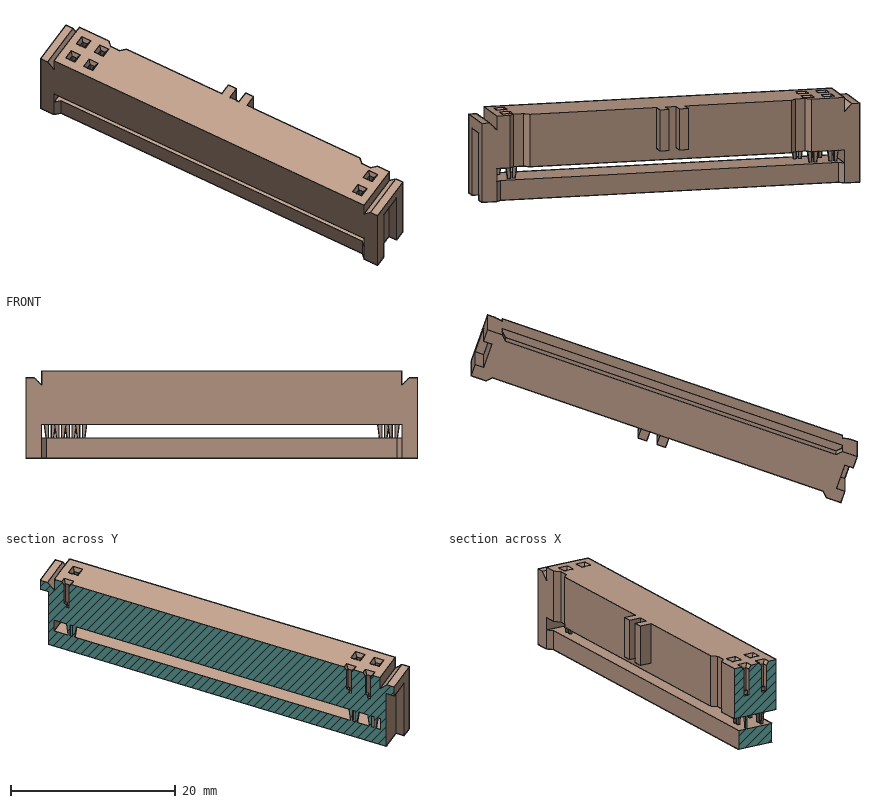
import cadquery as cq

length = 47.75
housing_depth = 6.05
height = 10.65
back_y = housing_depth / 2

leg_width = 1.9
leg_height = 9.85
groove_width = 0.9
body_length = length - 2 * leg_width
end_slot_width = 3.05
end_slot_height = 8.35
end_slot_depth = 1.1

cap_height = 2.5
gap_top = 4.1
cap_recess = 0.6

rib_width = 1.15
rib_spacing = 2.45
rib_depth = 1.58
rib_height = 5.1
notch_centers = (-16.5, 19.05)
notch_width = 2.5
notch_depth = 0.6

pin_row_length = 40.65
pitch_count = 16
pitch = pin_row_length / pitch_count
first_column = -pin_row_length / 2
socket_columns = (first_column, first_column + pitch, -first_column)
socket_rows = (-pitch / 2, pitch / 2)
socket_mouth = 1.3
socket_width = 0.6
funnel_depth = 0.5
socket_depth = 3.8
spring_height = 0.5

contact_root_width = 1.4
contact_tip_width = 0.95
contact_slit = 0.3
contact_thickness = 0.3


def box(width, depth, tall, x, y, z):
    """Box centred on x and y, with its bottom at z."""
    return cq.Workplane("XY").box(width, depth, tall, centered=(True, True, False)).translate((x, y, z))


def make_housing():
    half = length / 2
    half_body = body_length / 2
    groove_z = leg_height - groove_width
    outline = [
        (-half, 0), (half, 0),
        (half, leg_height), (half_body + groove_width, leg_height), (half_body, groove_z),
        (half_body, height), (-half_body, height),
        (-half_body, groove_z), (-half_body - groove_width, leg_height), (-half, leg_height),
    ]
    housing = cq.Workplane("XZ").polyline(outline).close().extrude(housing_depth / 2, both=True)
    return housing.cut(box(body_length, housing_depth, gap_top - cap_height, 0, 0, cap_height))


def make_cap_recess(side):
    """Shallow recess along the cap, on the front (side -1) or the back (side 1)."""
    half_face = body_length / 2 - cap_recess
    face_y = side * housing_depth / 2
    outline = [
        (-body_length / 2, face_y), (body_length / 2, face_y),
        (half_face, face_y - side * cap_recess), (-half_face, face_y - side * cap_recess),
    ]
    return cq.Workplane("XY").polyline(outline).close().extrude(cap_height)


def make_end_slot(side):
    x = side * (length - end_slot_depth) / 2
    return box(end_slot_depth, end_slot_width, end_slot_height, x, 0, 0)


def make_grip_notch(center):
    """Notch with 45 degree flanks, open at the back over the full height."""
    half_mouth = notch_width / 2
    half_floor = half_mouth - notch_depth
    outline = [
        (center - half_mouth, back_y), (center - half_floor, back_y - notch_depth),
        (center + half_floor, back_y - notch_depth), (center + half_mouth, back_y),
    ]
    return cq.Workplane("XY").polyline(outline).close().extrude(height)


def make_rib(side):
    return box(rib_width, rib_depth, rib_height,
               side * rib_spacing / 2, back_y + rib_depth / 2, height - rib_height)


def make_socket(x, y):
    """Square pin hole with a tapered mouth and a stepped floor."""
    funnel = (
        cq.Workplane("XY", origin=(x, y, height))
        .rect(socket_mouth, socket_mouth)
        .workplane(offset=-funnel_depth)
        .rect(socket_width, socket_width)
        .loft(ruled=True)
    )
    floor_z = height - socket_depth
    hole = box(socket_width, socket_width, socket_depth, x, y, floor_z)
    spring = box(socket_width / 2, socket_width, spring_height, x + socket_width / 4, y, floor_z)
    return funnel.union(hole).cut(spring)


def make_contact(x, y):
    """Flat fork that narrows from the upper body down to the cap."""
    half_root = contact_root_width / 2
    half_tip = contact_tip_width / 2
    outline = [
        (x - half_root, gap_top), (x + half_root, gap_top),
        (x + half_tip, cap_height), (x - half_tip, cap_height),
    ]
    blade = (
        cq.Workplane("XZ", origin=(0, y, 0)).polyline(outline).close()
        .extrude(contact_thickness / 2, both=True)
    )
    return blade.cut(box(contact_slit, contact_thickness, gap_top - cap_height, x, y, cap_height))


result = make_housing()

for side in (-1, 1):
    result = result.cut(make_cap_recess(side))
    result = result.cut(make_end_slot(side))
    result = result.union(make_rib(side))

for notch_x in notch_centers:
    result = result.cut(make_grip_notch(notch_x))

for column_x in socket_columns:
    for row_y in socket_rows:
        result = result.cut(make_socket(column_x, row_y))
        contact_x = column_x + pitch / 4 * (1 if row_y < 0 else -1)
        result = result.union(make_contact(contact_x, row_y))